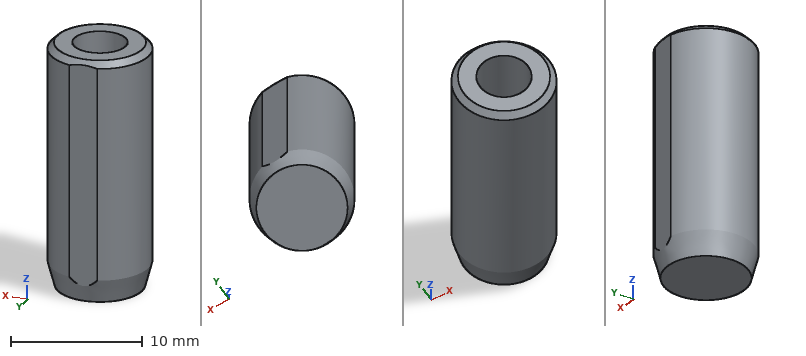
import cadquery as cq
import math

length = 20.0
diameter = 8.0
radius = diameter / 2

top_chamfer = 0.5

taper_height = 2.0
taper_angle = 15.0
tip_radius = radius - taper_height * math.tan(math.radians(taper_angle))

hole_diameter = 4.2
hole_radius = hole_diameter / 2
hole_depth = 12.0
drill_point_angle = 118.0
drill_point_depth = hole_radius / math.tan(math.radians(drill_point_angle / 2))

flat_offset = 3.85


def make_body():
    """Turned pin: tapered bottom, straight shank, chamfered top."""
    half_profile = [
        (0, 0),
        (tip_radius, 0),
        (radius, taper_height),
        (radius, length - top_chamfer),
        (radius - top_chamfer, length),
        (0, length),
    ]
    return cq.Workplane("XZ").polyline(half_profile).close().revolve(360, (0, 0), (0, 1))


def make_drilled_hole():
    """Cylinder of the hole with its conical drill point."""
    hole_floor = length - hole_depth
    half_profile = [
        (0, length),
        (hole_radius, length),
        (hole_radius, hole_floor),
        (0, hole_floor - drill_point_depth),
    ]
    return cq.Workplane("XZ").polyline(half_profile).close().revolve(360, (0, 0), (0, 1))


def make_flat_cutter():
    """Block covering everything beyond the flat."""
    return (
        cq.Workplane("XY")
        .box(diameter, diameter, length, centered=(True, False, False))
        .translate((0, flat_offset, 0))
    )


result = make_body().cut(make_drilled_hole()).cut(make_flat_cutter())